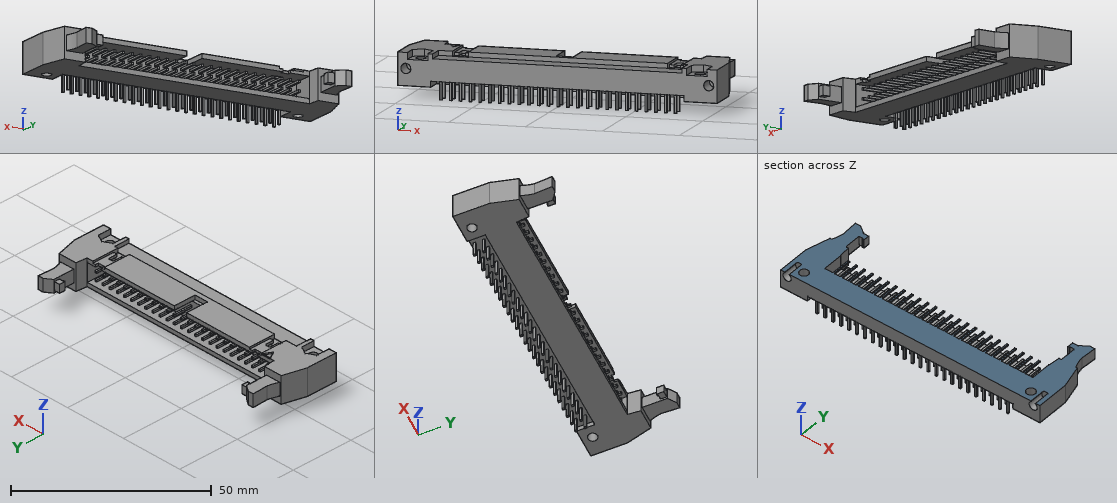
import cadquery as cq


half_length = 41.55
body_height = 8.5
side_depth = 10.05
ear_depth = 17.3
mouth_depth = 13.7
ear_tip_outer = 39.6
ear_tip_inner = 33.65
ear_root_inner = 33.3

cavity_half_width = 33.2
cavity_back = 7.5
wall = 1.3

pin_count = 25
pin_rows = 2
pin_span = 61.0
pin_pitch = pin_span / (pin_count - 1)
pin_width = 0.6
pin_drop = 3.2
pin_tip = 13.5
tail_front_y = 1.0
pin_embed = 0.4

step_half_width = 32.4
step_depth = 5.0
step_drop = 1.25
slot_end = 6.5
key_width = 4.4
recess_spacing_pitches = 22
recess_spacing = recess_spacing_pitches * pin_pitch
recess_offset = pin_pitch / 2
recess_width = 4.1
recess_drop = 0.6
notch_width = 2.2
notch_depth = 1.0
window_width = 1.7
window_end = 9.5
window_fillet = 0.4
mark_x = -30.4
mark_width = 2.7
mark_length = 2.5
mark_inset = 0.25
mark_drop = 0.4

mount_x = 36.3
mount_y = 2.9
hole_diameter = 2.6
pocket_width = 5.3
pocket_side = 4.3
pocket_tip = 5.7
pocket_drop = 1.75
face_hole_x = 39.4
face_hole_z = 4.4
face_hole_depth = 5.0
foot_half_width = 32.9
foot_depth = 5.0
foot_height = 1.5

latch_length = 25.8
latch_height = 4.1
latch_inner = 34.4
latch_embed = 0.4
latch_root_outer = 39.1
latch_waist = (38.15, 20.8)
latch_flank = (38.5, 19.1)
latch_tip_outer = 38.4
latch_tip_inner = 36.65
latch_bevel_y = 24.2
hook_height = 2.7
hook_tip = 32.6
hook_front = 24.0
hook_back = 22.3
hook_lip_width = 0.6
hook_lip_drop = 0.25

mid_height = body_height / 2


def box(x_min, x_max, y_min, y_max, z_min, z_max):
    size = (x_max - x_min, y_max - y_min, z_max - z_min)
    return cq.Workplane("XY").box(*size, centered=False).translate((x_min, y_min, z_min))


def centered_box(x, width, y_min, y_max, z_min, z_max):
    return box(x - width / 2, x + width / 2, y_min, y_max, z_min, z_max)


def with_mirror(solid):
    return solid.union(solid.mirror("YZ"))


def housing():
    half_outline = [
        (0, 0),
        (half_length, 0),
        (half_length, side_depth),
        (ear_tip_outer, ear_depth),
        (ear_tip_inner, ear_depth),
        (ear_root_inner, mouth_depth),
        (0, mouth_depth),
    ]
    half = cq.Workplane("XY").polyline(half_outline).close().extrude(body_height)
    return with_mirror(half)


def cavity():
    return centered_box(0, 2 * cavity_half_width, cavity_back, mouth_depth, wall, body_height - wall)


def front_step():
    return centered_box(0, 2 * step_half_width, 0, step_depth, body_height - step_drop, body_height)


def foot_relief():
    return centered_box(0, 2 * foot_half_width, 0, foot_depth, 0, foot_height)


def key_slot():
    return centered_box(0, key_width, slot_end, mouth_depth, body_height - wall, body_height)


def top_recess(x):
    """Shallow recess with a lower strip behind it, a window into the cavity and a mouth notch."""
    ceiling_z = body_height - wall
    shallow = centered_box(x, recess_width, step_depth, mouth_depth, body_height - recess_drop, body_height)
    strip = centered_box(x, recess_width, step_depth, slot_end, ceiling_z, body_height)
    channel = centered_box(x, window_width, slot_end, cavity_back, ceiling_z, body_height)
    window = centered_box(x, window_width, cavity_back, window_end, ceiling_z, body_height)
    window = window.edges("|Z and >Y").fillet(window_fillet)
    notch = centered_box(x, notch_width, mouth_depth - notch_depth, mouth_depth, ceiling_z, body_height)
    return shallow.union(strip).union(channel).union(window).union(notch)


def pin_one_mark():
    base_y = mouth_depth - mark_inset
    triangle = [
        (mark_x - mark_width / 2, base_y),
        (mark_x + mark_width / 2, base_y),
        (mark_x, base_y - mark_length),
    ]
    return (
        cq.Workplane("XY", origin=(0, 0, body_height - mark_drop))
        .polyline(triangle).close().extrude(mark_drop)
    )


def mount_cut(x):
    """Vertical through hole under a pointed nut pocket that opens at the mounting face."""
    half = pocket_width / 2
    pocket_outline = [
        (x - half, 0),
        (x + half, 0),
        (x + half, pocket_side),
        (x, pocket_tip),
        (x - half, pocket_side),
    ]
    pocket = (
        cq.Workplane("XY", origin=(0, 0, body_height - pocket_drop))
        .polyline(pocket_outline).close().extrude(pocket_drop)
    )
    hole = cq.Workplane("XY").center(x, mount_y).circle(hole_diameter / 2).extrude(body_height)
    return pocket.union(hole)


def face_hole(x):
    """Blind round hole in the mounting face."""
    return (
        cq.Workplane("XZ").center(x, face_hole_z)
        .circle(hole_diameter / 2).extrude(-face_hole_depth)
    )


def latch():
    """Latch of the +X end: a lever with a small hook pointing towards the middle."""
    lever = (
        cq.Workplane("XY", origin=(0, 0, mid_height - latch_height / 2))
        .moveTo(latch_inner, ear_depth - latch_embed)
        .lineTo(latch_root_outer, ear_depth - latch_embed)
        .lineTo(latch_root_outer, ear_depth)
        .threePointArc(latch_flank, latch_waist)
        .lineTo(latch_tip_outer, latch_length)
        .lineTo(latch_tip_inner, latch_length)
        .lineTo(latch_inner, latch_bevel_y)
        .close().extrude(latch_height)
    )
    hook_outline = [
        (latch_inner, hook_front),
        (hook_tip, hook_front),
        (hook_tip, hook_back - hook_lip_drop),
        (hook_tip + hook_lip_width, hook_back - hook_lip_drop),
        (hook_tip + hook_lip_width, hook_back),
        (latch_inner, hook_back),
    ]
    hook = (
        cq.Workplane("XY", origin=(0, 0, mid_height - hook_height / 2))
        .polyline(hook_outline).close().extrude(hook_height)
    )
    return lever.union(hook)


def pin_tails():
    row_middle = tail_front_y + pin_pitch / 2
    return (
        cq.Workplane("XY", origin=(0, row_middle, -pin_drop))
        .rarray(pin_pitch, pin_pitch, pin_count, pin_rows).rect(pin_width, pin_width)
        .extrude(pin_drop + foot_height + pin_embed)
    )


def pin_prongs():
    start_y = cavity_back - pin_embed
    return (
        cq.Workplane("XZ", origin=(0, start_y, mid_height))
        .rarray(pin_pitch, pin_pitch, pin_count, pin_rows).rect(pin_width, pin_width)
        .extrude(start_y - pin_tip)
    )


body = housing().cut(cavity()).cut(front_step()).cut(foot_relief()).cut(key_slot())
body = body.cut(pin_one_mark())
for side in (-1, 1):
    body = body.cut(top_recess(recess_offset + side * recess_spacing / 2))
    body = body.cut(mount_cut(side * mount_x))
    body = body.cut(face_hole(side * face_hole_x))

result = body.union(with_mirror(latch())).union(pin_tails()).union(pin_prongs())